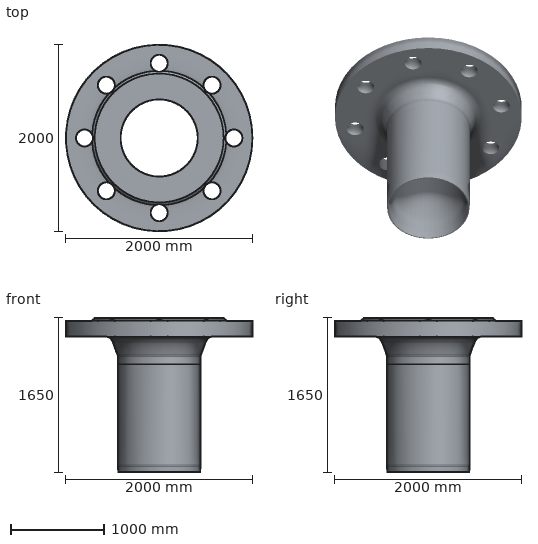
import cadquery as cq
import math

TOTAL_HEIGHT = 1650.0
OUTER_RADIUS = 890.0 / 2

FLANGE_RADIUS = 2000 / 2
FLANGE_THICKNESS = 170.0
FLANGE_BORE_RADIUS = 825.0 / 2
FACE_HEIGHT = 30.0
FACE_BASE_RADIUS = 720.0
FACE_TOP_RADIUS = FACE_BASE_RADIUS - FACE_HEIGHT

BOLT_COUNT = 8
BOLT_HOLE_DIAMETER = 180.0
BOLT_CIRCLE_RADIUS = 800.0

NECK_ROOT_RADIUS = 520.0
NECK_CONE_LENGTH = 202.0
NECK_ROOT_FILLET = 80.0
NECK_END_FILLET = 32.0
WELD_END_LENGTH = 95.0

PIPE_BORE_RADIUS = 860 / 2
TIP_RADIUS = 880 / 2
TIP_LENGTH = 70.0
TIP_BLEND_RADIUS = 160.0

FLANGE_TOP = TOTAL_HEIGHT - FACE_HEIGHT
FLANGE_BOTTOM = FLANGE_TOP - FLANGE_THICKNESS
NECK_END = FLANGE_BOTTOM - NECK_CONE_LENGTH
WELD_LEVEL = NECK_END - WELD_END_LENGTH

TOLERANCE = 0.2


def fillet_circle(body, radius, level, fillet):
    """Round the circular edge that has the given radius and height."""
    rims = [
        edge
        for edge in body.edges("%CIRCLE").vals()
        if abs(edge.radius() - radius) < TOLERANCE and abs(edge.Center().z - level) < TOLERANCE
    ]
    return body.newObject(rims).fillet(fillet)


def make_flange():
    """Welding-neck flange with a raised face and a ring of bolt holes."""
    flange = cq.Workplane("XZ").polyline([
        (FLANGE_BORE_RADIUS, WELD_LEVEL),
        (OUTER_RADIUS, WELD_LEVEL),
        (OUTER_RADIUS, NECK_END),
        (NECK_ROOT_RADIUS, FLANGE_BOTTOM),
        (FLANGE_RADIUS, FLANGE_BOTTOM),
        (FLANGE_RADIUS, FLANGE_TOP),
        (FACE_BASE_RADIUS, FLANGE_TOP),
        (FACE_TOP_RADIUS, TOTAL_HEIGHT),
        (FLANGE_BORE_RADIUS, TOTAL_HEIGHT),
    ]).close().revolve(360, (0, 0), (0, 1))
    flange = fillet_circle(flange, NECK_ROOT_RADIUS, FLANGE_BOTTOM, NECK_ROOT_FILLET)
    flange = fillet_circle(flange, OUTER_RADIUS, NECK_END, NECK_END_FILLET)

    bolt_holes = (
        cq.Workplane("XY", origin=(0, 0, FLANGE_BOTTOM))
        .polarArray(BOLT_CIRCLE_RADIUS, 0, 360, BOLT_COUNT)
        .circle(BOLT_HOLE_DIAMETER / 2)
        .extrude(FLANGE_THICKNESS + FACE_HEIGHT)
    )
    return flange.cut(bolt_holes)


def make_pipe():
    """Thin pipe butted against the weld end of the flange."""
    taper_angle = math.atan2(OUTER_RADIUS - TIP_RADIUS, TIP_LENGTH)
    blend_reach = TIP_BLEND_RADIUS * math.tan(taper_angle / 2)
    blend_start = (
        OUTER_RADIUS - blend_reach * math.sin(taper_angle),
        TIP_LENGTH - blend_reach * math.cos(taper_angle),
    )
    blend_end = (OUTER_RADIUS, TIP_LENGTH + blend_reach)
    return (
        cq.Workplane("XZ")
        .moveTo(PIPE_BORE_RADIUS, 0)
        .lineTo(TIP_RADIUS, 0)
        .lineTo(*blend_start)
        .tangentArcPoint(blend_end, relative=False)
        .lineTo(OUTER_RADIUS, WELD_LEVEL)
        .lineTo(PIPE_BORE_RADIUS, WELD_LEVEL)
        .close()
        .revolve(360, (0, 0), (0, 1))
    )


flange = make_flange()
pipe = make_pipe()
result = cq.Compound.makeCompound([flange.solids().val(), pipe.val()])